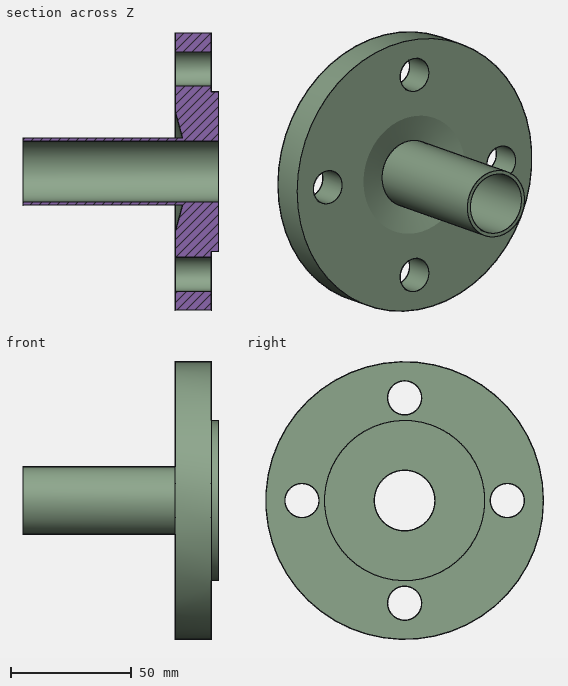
import cadquery as cq

flange_diameter = 115.0
flange_thickness = 15.0
raised_face_diameter = 66.33
raised_face_height = 3.0
pipe_outer_diameter = 28.0
pipe_inner_diameter = 25.0
pipe_projection = 63.0

bolt_hole_diameter = 14.0
bolt_circle_diameter = 85.0
bolt_hole_count = 4

recess_diameter = 49.8
recess_depth = 3.0

total_length = pipe_projection + flange_thickness + raised_face_height


def cylinder_along_x(diameter, start_x, length):
    """Solid cylinder centred on the X axis, running toward +X."""
    return cq.Workplane("YZ", origin=(start_x, 0, 0)).circle(diameter / 2).extrude(length)


def flange_body():
    """Flange disc with its raised sealing face on the +X side."""
    disc = cylinder_along_x(flange_diameter, 0, flange_thickness)
    raised_face = cylinder_along_x(raised_face_diameter, flange_thickness, raised_face_height)
    return disc.union(raised_face)


def conical_recess():
    """Cone that narrows from the flange face down to the pipe wall."""
    half_profile = [
        (0, 0),
        (0, recess_diameter / 2),
        (recess_depth, pipe_outer_diameter / 2),
        (recess_depth, 0),
    ]
    return (
        cq.Workplane("XY")
        .polyline(half_profile)
        .close()
        .revolve(360, (0, 0, 0), (1, 0, 0))
    )


def bolt_holes():
    """Through holes on the Y and Z axes of the flange."""
    return (
        cq.Workplane("YZ")
        .polarArray(bolt_circle_diameter / 2, 0, 360, bolt_hole_count)
        .circle(bolt_hole_diameter / 2)
        .extrude(flange_thickness)
    )


pipe = cylinder_along_x(pipe_outer_diameter, -pipe_projection, total_length)
bore = cylinder_along_x(pipe_inner_diameter, -pipe_projection, total_length)

result = flange_body().cut(conical_recess()).cut(bolt_holes()).union(pipe).cut(bore)